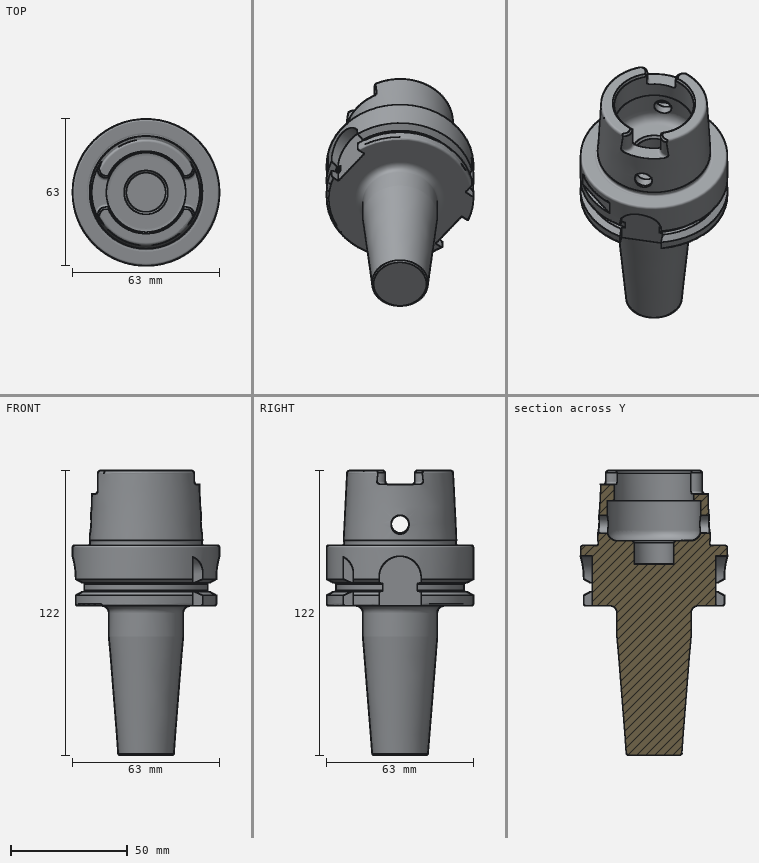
import math

import cadquery as cq


SHANK_LENGTH = 32.0
GAUGE_RADIUS = 24.0
GAUGE_HEIGHT = 6.3
TAPER_SLOPE = 1 / 20
TIP_ROUND = 1.2

UNDERCUT_TOP = 2.1
UNDERCUT_LAND_TOP = 1.4
UNDERCUT_RADIUS = 24.0
UNDERCUT_FILLET = 0.8
UNDERCUT_DEPTH = 0.1
UNDERCUT_FACE_RADIUS = 25.4

FLANGE_RADIUS = 31.5
FLANGE_THICKNESS = 26.0
FLANGE_ROUND = 1.0
GRIP_GROOVE_CENTRE = -18.0
GRIP_GROOVE_WIDTH = 7.0
GRIP_GROOVE_FLANK_ANGLE = 30.0
GRIP_GROOVE_RADIUS = 27.5
GRIP_GROOVE_INNER_WIDTH = 3.75
GRIP_GROOVE_FILLET = 0.5

NOSE_RADIUS = 16.0
NOSE_FILLET = 3.0
NOSE_TIP_RADIUS = 12.0
NOSE_TAPER_ANGLE = 4.5
NOSE_CHAMFER = 0.7
NOSE_LENGTH = 90.0

BORE_RADIUS = 17.0
BORE_CHAMFER_WIDTH = 0.7
BORE_CHAMFER_HEIGHT = 1.1
CLAMP_SHOULDER = 19.0
CLAMP_RADIUS = 20.0
CLAMP_BOTTOM = 6.4
BORE_FLOOR_FILLET = 4.4
COOLANT_BORE_RADIUS = 8.4
COOLANT_BORE_CHAMFER = 1.0
COOLANT_BORE_DEPTH = 10.0

SLOT_HALF_WIDTH = 6.25
SLOT_FLARE_RADIUS = 3.5
SLOT_FLARE_X = 20.7
SLOT_FLOOR_FILLET = 1.3
SLOT_RIM_CHAMFER = 0.9
SLOT_DEPTH_LEFT = 10.0
SLOT_DEPTH_RIGHT = 6.0

CROSS_HOLE_RADIUS = 3.75
CROSS_HOLE_CHAMFER = 0.3
CROSS_HOLE_HEIGHT = 9.0

KEYWAY_RADIUS = 9.0
KEYWAY_FLOOR = 26.5
KEYWAY_TOP = -4.7

NOTCH_FLOOR = 20.0
NOTCH_WALL = 20.0
NOTCH_ARCH_RADIUS = 8.0
NOTCH_ARCH_CENTRE = -12.1

FLAT_DISTANCE = 29.8
FLAT_DIRECTION = 135.0
FLAT_TOP = -3.7
FLAT_HEIGHT = 6.3

MARGIN = 5.0


def taper_radius(z):
    """Radius of the shank cone at height z."""
    return GAUGE_RADIUS - (z - GAUGE_HEIGHT) * TAPER_SLOPE


def corner_arc_middle(centre, radius, side_x, side_z):
    """Middle of a quarter arc on the given side of its centre."""
    reach = radius * math.sqrt(0.5)
    return (centre[0] + side_x * reach, centre[1] + side_z * reach)


def revolve_about_axis(profile):
    """Full turn of a profile drawn in XZ, with its seam on the -Y side."""
    return profile.close().revolve(360, (0, 0, 0), (0, 1, 0)).rotate((0, 0, 0), (0, 0, 1), -90)


def make_body():
    tip_radius = taper_radius(SHANK_LENGTH - TIP_ROUND)
    tip_centre = (tip_radius - TIP_ROUND, SHANK_LENGTH - TIP_ROUND)
    undercut_centre = (UNDERCUT_RADIUS + UNDERCUT_FILLET, UNDERCUT_FILLET - UNDERCUT_DEPTH)
    rim_radius = FLANGE_RADIUS - FLANGE_ROUND
    flange_top_centre = (rim_radius, -FLANGE_ROUND)
    flange_bottom_centre = (rim_radius, -FLANGE_THICKNESS + FLANGE_ROUND)
    neck_fillet_centre = (NOSE_RADIUS + NOSE_FILLET, -FLANGE_THICKNESS - NOSE_FILLET)
    taper_length = (NOSE_RADIUS - NOSE_TIP_RADIUS) / math.tan(math.radians(NOSE_TAPER_ANGLE))
    profile = (
        cq.Workplane("XZ")
        .moveTo(0, SHANK_LENGTH)
        .lineTo(tip_centre[0], SHANK_LENGTH)
        .threePointArc(corner_arc_middle(tip_centre, TIP_ROUND, 1, 1), (tip_radius, tip_centre[1]))
        .lineTo(taper_radius(UNDERCUT_TOP), UNDERCUT_TOP)
        .lineTo(UNDERCUT_RADIUS, UNDERCUT_LAND_TOP)
        .lineTo(UNDERCUT_RADIUS, undercut_centre[1])
        .threePointArc(
            corner_arc_middle(undercut_centre, UNDERCUT_FILLET, -1, -1),
            (undercut_centre[0], -UNDERCUT_DEPTH),
        )
        .lineTo(UNDERCUT_FACE_RADIUS, 0)
        .lineTo(rim_radius, 0)
        .threePointArc(
            corner_arc_middle(flange_top_centre, FLANGE_ROUND, 1, 1),
            (FLANGE_RADIUS, flange_top_centre[1]),
        )
        .lineTo(FLANGE_RADIUS, flange_bottom_centre[1])
        .threePointArc(
            corner_arc_middle(flange_bottom_centre, FLANGE_ROUND, 1, -1),
            (rim_radius, -FLANGE_THICKNESS),
        )
        .lineTo(neck_fillet_centre[0], -FLANGE_THICKNESS)
        .threePointArc(
            corner_arc_middle(neck_fillet_centre, NOSE_FILLET, -1, 1),
            (NOSE_RADIUS, neck_fillet_centre[1]),
        )
        .lineTo(NOSE_RADIUS, -NOSE_LENGTH + taper_length)
        .lineTo(NOSE_TIP_RADIUS, -NOSE_LENGTH + NOSE_CHAMFER)
        .lineTo(NOSE_TIP_RADIUS - NOSE_CHAMFER, -NOSE_LENGTH)
        .lineTo(0, -NOSE_LENGTH)
    )
    return revolve_about_axis(profile)


def make_grip_groove():
    """Ring cutter for the gripper groove: conical mouth, square inner channel with filleted corners."""
    mouth_half = GRIP_GROOVE_WIDTH / 2
    inner_half = GRIP_GROOVE_INNER_WIDTH / 2
    flank_depth = (mouth_half - inner_half) / math.tan(math.radians(GRIP_GROOVE_FLANK_ANGLE))
    flank_radius = FLANGE_RADIUS - flank_depth
    fillet_radius = GRIP_GROOVE_RADIUS + GRIP_GROOVE_FILLET
    fillet_half = inner_half - GRIP_GROOVE_FILLET
    profile = (
        cq.Workplane("XZ", origin=(0, 0, GRIP_GROOVE_CENTRE))
        .moveTo(FLANGE_RADIUS + MARGIN, mouth_half)
        .lineTo(FLANGE_RADIUS, mouth_half)
        .lineTo(flank_radius, inner_half)
        .lineTo(fillet_radius, inner_half)
        .threePointArc(
            corner_arc_middle((fillet_radius, fillet_half), GRIP_GROOVE_FILLET, -1, 1),
            (GRIP_GROOVE_RADIUS, fillet_half),
        )
        .lineTo(GRIP_GROOVE_RADIUS, -fillet_half)
        .threePointArc(
            corner_arc_middle((fillet_radius, -fillet_half), GRIP_GROOVE_FILLET, -1, -1),
            (fillet_radius, -inner_half),
        )
        .lineTo(flank_radius, -inner_half)
        .lineTo(FLANGE_RADIUS, -mouth_half)
        .lineTo(FLANGE_RADIUS + MARGIN, -mouth_half)
    )
    return revolve_about_axis(profile)


def make_bore():
    floor = CLAMP_BOTTOM - BORE_FLOOR_FILLET
    floor_centre = (CLAMP_RADIUS - BORE_FLOOR_FILLET, CLAMP_BOTTOM)
    coolant_mouth = COOLANT_BORE_RADIUS + COOLANT_BORE_CHAMFER
    profile = (
        cq.Workplane("XZ")
        .moveTo(0, SHANK_LENGTH)
        .lineTo(BORE_RADIUS + BORE_CHAMFER_WIDTH, SHANK_LENGTH)
        .lineTo(BORE_RADIUS, SHANK_LENGTH - BORE_CHAMFER_HEIGHT)
        .lineTo(BORE_RADIUS, CLAMP_SHOULDER)
        .lineTo(CLAMP_RADIUS, CLAMP_SHOULDER)
        .lineTo(CLAMP_RADIUS, CLAMP_BOTTOM)
        .threePointArc(
            corner_arc_middle(floor_centre, BORE_FLOOR_FILLET, 1, -1),
            (floor_centre[0], floor),
        )
        .lineTo(coolant_mouth, floor)
        .lineTo(COOLANT_BORE_RADIUS, floor - COOLANT_BORE_CHAMFER)
        .lineTo(COOLANT_BORE_RADIUS, floor - COOLANT_BORE_DEPTH)
        .lineTo(0, floor - COOLANT_BORE_DEPTH)
    )
    return revolve_about_axis(profile)


def slot_outline(plane, growth):
    """Plan outline of the +X drive slot, moved outward into the shank wall by growth."""
    half_width = SLOT_HALF_WIDTH + growth
    flare_x = SLOT_FLARE_X - growth
    radius = SLOT_FLARE_RADIUS - growth
    start_x = flare_x - radius
    flare_y = half_width + radius
    mid_x = start_x + radius * math.sqrt(0.5)
    mid_y = flare_y - radius * math.sqrt(0.5)
    return (
        plane.moveTo(0, -half_width)
        .lineTo(start_x, -half_width)
        .threePointArc((mid_x, -mid_y), (flare_x, -flare_y))
        .lineTo(flare_x, -GAUGE_RADIUS)
        .lineTo(GAUGE_RADIUS + MARGIN, -GAUGE_RADIUS)
        .lineTo(GAUGE_RADIUS + MARGIN, GAUGE_RADIUS)
        .lineTo(flare_x, GAUGE_RADIUS)
        .lineTo(flare_x, flare_y)
        .threePointArc((mid_x, mid_y), (start_x, half_width))
        .lineTo(0, half_width)
        .close()
    )


def make_drive_slot(depth):
    """Cutter for a +X drive slot with a filleted floor and a chamfered rim."""
    floor = cq.Workplane("XY").workplane(offset=SHANK_LENGTH - depth)
    slot = slot_outline(floor, 0).extrude(depth).faces("<Z").edges().fillet(SLOT_FLOOR_FILLET)
    rim_plane = cq.Workplane("XY").workplane(offset=SHANK_LENGTH)
    rim = slot_outline(rim_plane, SLOT_RIM_CHAMFER).extrude(-SLOT_RIM_CHAMFER, taper=45)
    return slot.union(rim)


def make_keyway(radius, floor, top):
    """Cutter for a +X flange keyway with a round top, open at the flange underside."""
    centre = top - radius
    outline = (
        cq.Workplane("YZ", origin=(floor, 0, 0))
        .moveTo(-radius, -FLANGE_THICKNESS)
        .lineTo(-radius, centre)
        .threePointArc((0, top), (radius, centre))
        .lineTo(radius, -FLANGE_THICKNESS)
        .close()
    )
    return outline.extrude(FLANGE_RADIUS)


def make_flat():
    """Cutter for the rectangular flat between -X and +Y."""
    block = cq.Workplane("XY").box(FLANGE_RADIUS, FLANGE_RADIUS, FLAT_HEIGHT, centered=(False, True, False))
    placed = block.translate((FLAT_DISTANCE, 0, FLAT_TOP - FLAT_HEIGHT))
    return placed.rotate((0, 0, 0), (0, 0, 1), FLAT_DIRECTION)


def make_notch():
    """Cutter for the corner notch: floor facing +X, wall facing -Y, arched top."""
    top = NOTCH_ARCH_CENTRE + NOTCH_ARCH_RADIUS
    return make_keyway(NOTCH_ARCH_RADIUS, NOTCH_FLOOR, top).translate((0, -NOTCH_WALL - NOTCH_ARCH_RADIUS, 0))


def make_cross_hole():
    """Cutter for the +X cross hole, from the clamping bore outward, countersunk at the shank surface."""
    surface = taper_radius(CROSS_HOLE_HEIGHT)
    outer_end = surface + CROSS_HOLE_CHAMFER
    profile = (
        cq.Workplane("XY", origin=(0, 0, CROSS_HOLE_HEIGHT))
        .moveTo(BORE_RADIUS, 0)
        .lineTo(BORE_RADIUS, CROSS_HOLE_RADIUS)
        .lineTo(surface - CROSS_HOLE_CHAMFER, CROSS_HOLE_RADIUS)
        .lineTo(outer_end, CROSS_HOLE_RADIUS + 2 * CROSS_HOLE_CHAMFER)
        .lineTo(outer_end, 0)
        .close()
    )
    return profile.revolve(360, (0, 0, 0), (1, 0, 0))


def on_left(cutter):
    """The same cutter turned half a turn, to the -X side."""
    return cutter.rotate((0, 0, 0), (0, 0, 1), 180)


body = make_body().cut(make_grip_groove()).cut(make_bore())
body = body.cut(make_drive_slot(SLOT_DEPTH_RIGHT))
body = body.cut(on_left(make_drive_slot(SLOT_DEPTH_LEFT)))
body = body.cut(make_cross_hole())
body = body.cut(on_left(make_cross_hole()))
body = body.cut(make_keyway(KEYWAY_RADIUS, KEYWAY_FLOOR, KEYWAY_TOP))
body = body.cut(on_left(make_keyway(KEYWAY_RADIUS, KEYWAY_FLOOR, KEYWAY_TOP)))
result = body.cut(make_notch()).cut(make_flat())